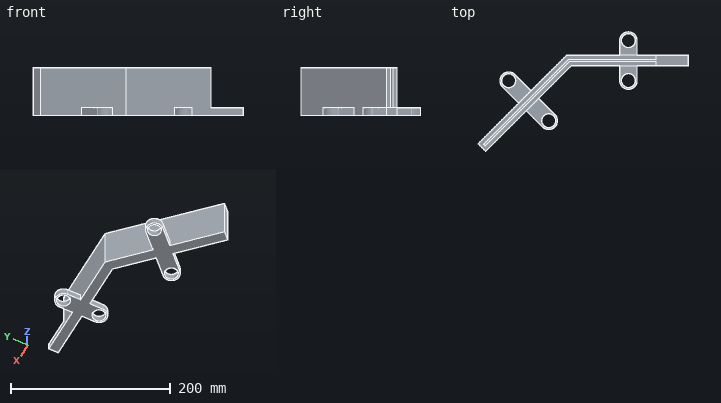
import cadquery as cq
import math

wall_width = 13.5
wall_height = 60.0
bend_angle = 45
diagonal_length = 154.0
overall_length = 263.1
tongue_length = 40.3
base_height = 10.0

groove_width = 2.5
groove_end_wall = 4.5

lug_width = 22.0
hole_diameter = 17.0
straight_lug_distance = 74.5
straight_hole_spacing = 50.0
diagonal_lug_distance = 71.0
diagonal_hole_spacing = 70.8

cos_bend = math.cos(math.radians(bend_angle))
sin_bend = math.sin(math.radians(bend_angle))

straight_length = overall_length - diagonal_length * cos_bend - wall_width / 2 * sin_bend
tall_length = straight_length - tongue_length


def bent_strip(width, diagonal, straight, bottom, top):
    """Upright strip centred on the wall line, with a mitred bend."""
    half = width / 2
    miter = half * math.tan(math.radians(bend_angle / 2))
    end_x = -diagonal * cos_bend
    end_y = -diagonal * sin_bend
    outline = [
        (straight, half),
        (-miter, half),
        (end_x - half * sin_bend, end_y + half * cos_bend),
        (end_x + half * sin_bend, end_y - half * cos_bend),
        (miter, -half),
        (straight, -half),
    ]
    return cq.Workplane("XY").workplane(offset=bottom).polyline(outline).close().extrude(top - bottom)


def placed_lug(center, direction, hole_spacing):
    """Crossbar and its two hole cutters, lying along the given direction."""
    bar = cq.Workplane("XY").slot2D(hole_spacing + lug_width, lug_width).extrude(base_height)
    hole_centers = [(-hole_spacing / 2, 0), (hole_spacing / 2, 0)]
    holes = cq.Workplane("XY").pushPoints(hole_centers).circle(hole_diameter / 2).extrude(base_height)
    return [
        shape.rotate((0, 0, 0), (0, 0, 1), direction).translate((center[0], center[1], 0))
        for shape in (bar, holes)
    ]


base = bent_strip(wall_width, diagonal_length, straight_length, 0, base_height)
tall_wall = bent_strip(wall_width, diagonal_length, tall_length, 0, wall_height)
groove = bent_strip(
    groove_width, diagonal_length - groove_end_wall, tall_length, base_height, wall_height
)
result = base.union(tall_wall).cut(groove)

diagonal_lug_center = (-diagonal_lug_distance * cos_bend, -diagonal_lug_distance * sin_bend)
lugs = [
    ((straight_lug_distance, 0), 90, straight_hole_spacing),
    (diagonal_lug_center, 90 + bend_angle, diagonal_hole_spacing),
]
for center, direction, hole_spacing in lugs:
    bar, holes = placed_lug(center, direction, hole_spacing)
    result = result.union(bar).cut(holes)